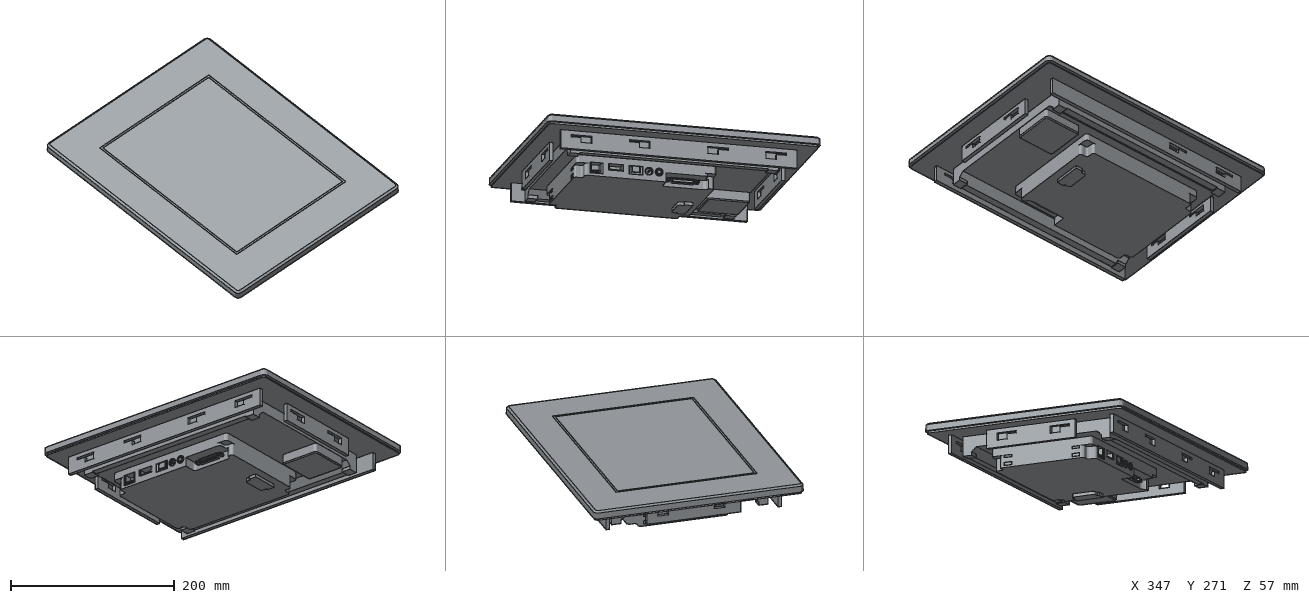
import cadquery as cq
import math


bezel_length = 347.0
bezel_width = 271.0
bezel_bottom = -9.7
bezel_corner_radius = 6.2
bezel_bevel_width = 2.8
bezel_bevel_height = 2.0
bezel_side_lean = 0.5
lip_inset = 2.0
lip_lean = 1.5
lip_bottom = -12.5

screen_length = 246.5
screen_width = 182.0
screen_frame_width = 2.8
screen_groove_depth = 0.5

wall_center_x = -1.5
wall_span_x = 299.8
wall_span_y = 121.0
wall_outer_y = 113.0
wall_thickness = 4.5
wall_bottom = -35.7

slot_top = -17.7
slot_neck_height = 2.8
slot_height = 9.0
slot_length = 26.0
slot_mouth_length = 13.5
slot_inner_x = 36.8
slot_outer_x = 110.7
side_slot_ends_y = (46.5, -26.5)

chassis_left = -136.0
chassis_right = 128.5
chassis_half_width = 101.0
chassis_bottom = -27.0
ridge_toe_y = 82.2
ridge_crest_y = 92.3
foot_inner_y = 89.0
foot_length = 12.5
foot_bottom = -37.0

cover_left = 74.5
cover_right = 128.0
cover_back = 76.0
cover_width = 53.5
cover_bottom = -40.0
cover_corner_radius = 3.5
cover_bevel = 1.5

housing_center_x = -29.0
housing_center_y = 2.0
housing_half_length = 89.0
housing_half_width = 69.0
housing_bottom = -52.7
housing_ledge = -37.0
housing_corner_radius = 4.0
corner_step_x = 10.8
corner_step_y = 11.5
corner_inner_radius = 2.8
corner_shoulder_radius = 3.5

latch_offset_y = 46.5
latch_width = 10.0
latch_depth = 1.0
latch_heights = ((-37.0, -40.0), (-46.0, -50.0))

socket_top = -35.5
socket_depth = 10.5
rim_depth = 1.5
lan_left, lan_right, lan_bottom = -101.0, -84.5, -49.0
lan_rim = 2.0
lan_contact_count = 4
lan_contact_width = 1.5
lan_contact_height = 2.0
host_left, host_right, host_bottom = -77.5, -58.5, -43.5
host_rim = 1.5
device_left, device_right, device_bottom = -51.5, -34.0, -46.0
device_rim = 2.8
device_tongue_margin = 1.5
device_tongue_bottom = -42.7
jack_centers_x = (-26.0, -13.2)
jack_center_z = -40.5
jack_radius = 3.8
jack_rim_radius = 5.0
jack_pin_radii = (1.0, 2.5)
jack_depth = 3.5

recess_left = -4.5
recess_right = 52.7
recess_top = -41.0
recess_depth = 17.5
recess_left_radius = 2.5
recess_right_radius = 6.5
serial_left, serial_right = 6.0, 35.7
serial_top, serial_bottom = -42.0, -48.0
serial_projection = 5.2
serial_shell = 1.0
serial_taper = 1.0
serial_cavity_depth = 3.5
serial_screw_offset = 18.5
serial_screw_radius = 2.0
serial_screw_hole_radius = 1.0

plug_left = 31.2
plug_right = 49.3
plug_center_y = 20.8
plug_half_width = 18.0
plug_nose_half_width = 15.5
plug_shoulder_x = 39.0
plug_corner_radius = 3.0
plug_bottom = -57.0


housing_front = housing_center_y - housing_half_width
housing_left = housing_center_x - housing_half_length


def block(x0, x1, y0, y1, z0, z1):
    """Box between two corners, given in any order."""
    return (
        cq.Workplane("XY")
        .box(abs(x1 - x0), abs(y1 - y0), abs(z1 - z0))
        .translate(((x0 + x1) / 2, (y0 + y1) / 2, (z0 + z1) / 2))
    )


def rounded_block(length, width, top, bottom, radius):
    """Upright block centred on the Z axis with rounded vertical edges."""
    half_length, half_width = length / 2, width / 2
    return block(-half_length, half_length, -half_width, half_width, bottom, top).edges("|Z").fillet(radius)


def cylinder_along_y(x, z, radius, front, back):
    """Round bar along Y between two planes."""
    return cq.Workplane("XZ", origin=(x, front, z)).circle(radius).extrude(front - back)


def leaning_plate(inset, lean, bottom, top):
    """Rounded rectangle set in from the bezel outline, whose sides lean inward by lean at the top."""
    length, width = bezel_length - 2 * inset, bezel_width - 2 * inset
    height = top - bottom
    outline = cq.Sketch().rect(length, width).vertices().fillet(bezel_corner_radius - inset)
    angle = math.degrees(math.atan2(lean, height))
    return cq.Workplane("XY", origin=(0, 0, bottom)).placeSketch(outline).extrude(height, taper=angle)


def make_bezel():
    rim = leaning_plate(0, bezel_side_lean, bezel_bottom, -bezel_bevel_height)
    bevel = leaning_plate(bezel_side_lean, bezel_bevel_width, -bezel_bevel_height, 0)
    lip = leaning_plate(lip_inset, lip_lean, lip_bottom, bezel_bottom)
    groove = (
        cq.Workplane("XY")
        .rect(screen_length, screen_width)
        .rect(screen_length - 2 * screen_frame_width, screen_width - 2 * screen_frame_width)
        .extrude(-screen_groove_depth)
    )
    return rim.union(bevel).union(lip).cut(groove)


def clamp_slot(plane, mouth_end, direction, across):
    """L-shaped cutter: a tall mouth at mouth_end and a neck running on in the given direction."""
    mouth_inner = mouth_end + direction * slot_mouth_length
    neck_end = mouth_end + direction * slot_length
    neck_bottom = slot_top - slot_neck_height
    mouth_bottom = slot_top - slot_height
    return (
        cq.Workplane(plane)
        .polyline(
            [
                (mouth_end, slot_top),
                (neck_end, slot_top),
                (neck_end, neck_bottom),
                (mouth_inner, neck_bottom),
                (mouth_inner, mouth_bottom),
                (mouth_end, mouth_bottom),
            ]
        )
        .close()
        .extrude(across, both=True)
    )


def make_long_wall(side):
    """Wall along X at the front (side -1) or back (side 1)."""
    half_span = wall_span_x / 2
    return block(
        wall_center_x - half_span,
        wall_center_x + half_span,
        side * (wall_outer_y - wall_thickness),
        side * wall_outer_y,
        wall_bottom,
        lip_bottom,
    )


def make_end_wall(side):
    """Wall along Y at the left (side -1) or right (side 1)."""
    outer_x = wall_center_x + side * wall_span_x / 2
    half_span = wall_span_y / 2
    return block(outer_x, outer_x - side * wall_thickness, -half_span, half_span, wall_bottom, lip_bottom)


def make_walls():
    front_wall = make_long_wall(-1)
    back_wall = make_long_wall(1)
    for offset in (slot_inner_x, slot_outer_x):
        left_slot = clamp_slot("XZ", wall_center_x - offset, -1, bezel_width)
        right_slot = clamp_slot("XZ", wall_center_x + offset, 1, bezel_width)
        front_wall = front_wall.cut(left_slot).cut(right_slot)
        back_wall = back_wall.cut(left_slot)

    end_walls = make_end_wall(-1).union(make_end_wall(1))
    for mouth_end in side_slot_ends_y:
        end_walls = end_walls.cut(clamp_slot("YZ", mouth_end, -1, bezel_length))
    return front_wall.union(back_wall).union(end_walls)


def make_chassis():
    chassis = block(
        chassis_left, chassis_right, -chassis_half_width, chassis_half_width, chassis_bottom, lip_bottom
    )
    for side in (-1, 1):
        ridge = (
            cq.Workplane("YZ", origin=(chassis_left, 0, 0))
            .polyline(
                [
                    (side * ridge_toe_y, chassis_bottom),
                    (side * ridge_crest_y, wall_bottom),
                    (side * chassis_half_width, wall_bottom),
                    (side * chassis_half_width, chassis_bottom),
                ]
            )
            .close()
            .extrude(chassis_right - chassis_left)
        )
        chassis = chassis.union(ridge)
        for start in (chassis_left, chassis_right - foot_length):
            chassis = chassis.union(
                block(
                    start,
                    start + foot_length,
                    side * foot_inner_y,
                    side * chassis_half_width,
                    foot_bottom,
                    chassis_bottom,
                )
            )
    return chassis


def make_cover():
    cover = block(cover_left, cover_right, cover_back - cover_width, cover_back, cover_bottom, chassis_bottom)
    return cover.edges("|Z").fillet(cover_corner_radius).faces("<Z").chamfer(cover_bevel)


def make_housing():
    """Rounded upper tier and a lower tier whose four corners are stepped in."""
    length = 2 * housing_half_length
    width = 2 * housing_half_width
    upper = rounded_block(length, width, chassis_bottom, housing_ledge, housing_corner_radius)
    step_length = length - 2 * corner_step_x
    step_width = width - 2 * corner_step_y
    lower = rounded_block(length, step_width, housing_ledge, housing_bottom, corner_shoulder_radius).union(
        rounded_block(step_length, width, housing_ledge, housing_bottom, corner_shoulder_radius)
    )
    inner_corners = [
        (side_x * step_length / 2, side_y * step_width / 2, (housing_ledge + housing_bottom) / 2)
        for side_x in (-1, 1)
        for side_y in (-1, 1)
    ]
    for corner in inner_corners:
        lower = lower.edges(cq.selectors.NearestToPointSelector(corner)).fillet(corner_inner_radius)
    return upper.union(lower).translate((housing_center_x, housing_center_y, 0))


def cut_latch_slots(housing):
    for side in (-1, 1):
        center_y = housing_center_y + side * latch_offset_y
        for top, bottom in latch_heights:
            housing = housing.cut(
                block(
                    housing_left,
                    housing_left + latch_depth,
                    center_y - latch_width / 2,
                    center_y + latch_width / 2,
                    bottom,
                    top,
                )
            )
    return housing


def front_pocket(left, right, bottom, top, depth):
    """Cutter that enters the long side of the housing."""
    return block(left, right, housing_front, housing_front + depth, bottom, top)


def cut_framed_socket(housing, left, right, bottom, rim):
    """Socket set back behind a shallow rim, reaching up into the upper tier."""
    frame = front_pocket(left, right, bottom, socket_top, rim_depth)
    opening = front_pocket(left + rim, right - rim, bottom + rim, socket_top, socket_depth)
    return housing.cut(frame).cut(opening)


def cut_sockets(housing):
    housing = cut_framed_socket(housing, lan_left, lan_right, lan_bottom, lan_rim)
    contact_pitch = (lan_right - lan_left - 2 * lan_rim) / (lan_contact_count + 1)
    for index in range(lan_contact_count):
        center = lan_left + lan_rim + contact_pitch * (index + 1)
        floor = lan_bottom + lan_rim
        contact = block(
            center - lan_contact_width / 2,
            center + lan_contact_width / 2,
            housing_front + rim_depth,
            housing_front + socket_depth,
            floor,
            floor + lan_contact_height,
        )
        housing = housing.union(contact)

    housing = cut_framed_socket(housing, host_left, host_right, host_bottom, host_rim)

    housing = cut_framed_socket(housing, device_left, device_right, device_bottom, device_rim)
    tongue_margin = device_rim + device_tongue_margin
    tongue = block(
        device_left + tongue_margin,
        device_right - tongue_margin,
        housing_front + rim_depth,
        housing_front + socket_depth,
        device_tongue_bottom,
        socket_top,
    )
    return housing.union(tongue)


def cut_jacks(housing):
    """Round jacks, each with a centre pin left standing in the bore."""
    for center_x, pin_radius in zip(jack_centers_x, jack_pin_radii):
        back = housing_front + jack_depth
        bore = cylinder_along_y(center_x, jack_center_z, jack_radius, housing_front, back)
        rim_back = housing_front + rim_depth
        rim = cylinder_along_y(center_x, jack_center_z, jack_rim_radius, housing_front, rim_back)
        pin = cylinder_along_y(center_x, jack_center_z, pin_radius, housing_front, back)
        housing = housing.cut(bore).cut(rim).union(pin)
    return housing


def cut_serial_recess(housing):
    """Recess with rounded rear corners, open downward and to the front."""
    back = housing_front + recess_depth
    recess = block(recess_left, recess_right, housing_front, back, housing_bottom, recess_top)
    recess = recess.edges("|Z and >Y and <X").fillet(recess_left_radius)
    recess = recess.edges("|Z and >Y and >X").fillet(recess_right_radius)
    return housing.cut(recess)


def serial_outline(front, inset):
    """D-shaped outline, narrower at the bottom, shrunk by the inset."""
    return (
        cq.Workplane("XZ", origin=(0, front, 0))
        .polyline(
            [
                (serial_left + inset, serial_top - inset),
                (serial_right - inset, serial_top - inset),
                (serial_right - serial_taper - inset, serial_bottom + inset),
                (serial_left + serial_taper + inset, serial_bottom + inset),
            ]
        )
        .close()
    )


def make_serial_connector():
    back = housing_front + recess_depth
    front = back - serial_projection
    connector = serial_outline(front, 0).extrude(-serial_projection)
    connector = connector.cut(serial_outline(front, serial_shell).extrude(-serial_cavity_depth))
    center_x = (serial_left + serial_right) / 2
    center_z = (serial_top + serial_bottom) / 2
    for side in (-1, 1):
        post_x = center_x + side * serial_screw_offset
        post = cylinder_along_y(post_x, center_z, serial_screw_radius, front, back)
        hole = cylinder_along_y(post_x, center_z, serial_screw_hole_radius, front, back)
        connector = connector.union(post.cut(hole))
    return connector


def make_plug():
    """Underside plug: a wide part with a narrower, rounded nose toward -X."""
    nose = block(
        plug_left,
        plug_right,
        plug_center_y - plug_nose_half_width,
        plug_center_y + plug_nose_half_width,
        plug_bottom,
        housing_bottom,
    )
    nose = nose.edges("|Z and <X").fillet(plug_corner_radius)
    shoulder = block(
        plug_shoulder_x,
        plug_right,
        plug_center_y - plug_half_width,
        plug_center_y + plug_half_width,
        plug_bottom,
        housing_bottom,
    )
    return nose.union(shoulder)


panel = make_bezel().union(make_walls()).union(make_chassis()).union(make_cover())
housing = cut_latch_slots(make_housing())
housing = cut_sockets(housing)
housing = cut_jacks(housing)
housing = cut_serial_recess(housing).union(make_serial_connector())
result = panel.union(housing).union(make_plug())